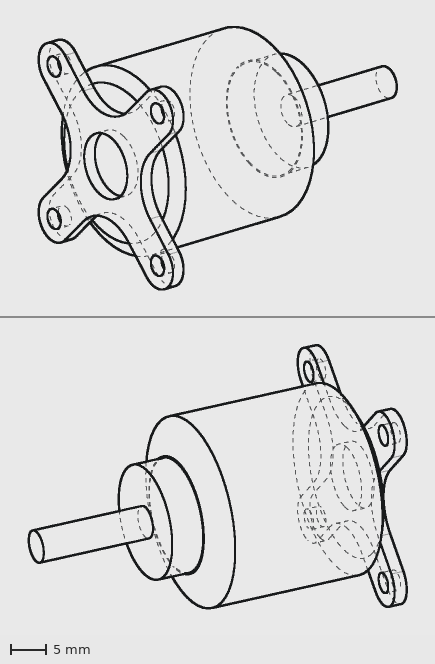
import cadquery as cq
import math

total_length = 51.5

plate_thickness = 1.95
plate_span = 30.35
arm_end_radius = 3.5
arm_hole_diameter = 3.0
centre_hole_diameter = 9.75
arm_fillet_radius = 7.1
selection_margin = 0.5
hole_offset = plate_span / 2 - arm_end_radius
arm_length = 2 * math.hypot(hole_offset, hole_offset) + 2 * arm_end_radius

body_diameter = 28.0
front_face_diameter = 23.6
front_cone_end = 3.3
rear_cone_start = 26.85
rear_cone_end = 29.1
rear_cone_diameter = 17.2
boss_diameter = 16.8
boss_end = 34.05
shaft_diameter = 4.75


def make_body():
    """Revolve the stepped half profile of the body, boss and shaft about Y."""
    profile = [
        (0, plate_thickness),
        (front_face_diameter / 2, plate_thickness),
        (body_diameter / 2, front_cone_end),
        (body_diameter / 2, rear_cone_start),
        (rear_cone_diameter / 2, rear_cone_end),
        (boss_diameter / 2, rear_cone_end),
        (boss_diameter / 2, boss_end),
        (shaft_diameter / 2, boss_end),
        (shaft_diameter / 2, total_length),
        (0, total_length),
    ]
    return cq.Workplane("XY").polyline(profile).close().revolve(360, (0, 0), (0, 1))


def plate_plane():
    """Plane of the outer plate face; negative extrusions go toward +Y."""
    return cq.Workplane("XZ")


def make_plate():
    """Build the X-shaped plate with filleted inner corners and its holes."""
    plate = plate_plane().slot2D(arm_length, 2 * arm_end_radius, 45).extrude(-plate_thickness)
    other_arm = plate_plane().slot2D(arm_length, 2 * arm_end_radius, -45).extrude(-plate_thickness)
    plate = plate.union(other_arm)

    corner = arm_end_radius * math.sqrt(2)
    reach = corner + selection_margin
    corner_box = cq.selectors.BoxSelector(
        (-reach, 0, -reach),
        (reach, plate_thickness, reach),
    )
    plate = plate.edges("|Y").edges(corner_box).fillet(arm_fillet_radius)

    arm_holes = (
        plate_plane()
        .rect(2 * hole_offset, 2 * hole_offset, forConstruction=True)
        .vertices()
        .circle(arm_hole_diameter / 2)
        .extrude(-plate_thickness)
    )
    centre_hole = plate_plane().circle(centre_hole_diameter / 2).extrude(-plate_thickness)
    return plate.cut(arm_holes).cut(centre_hole)


result = make_body().union(make_plate())